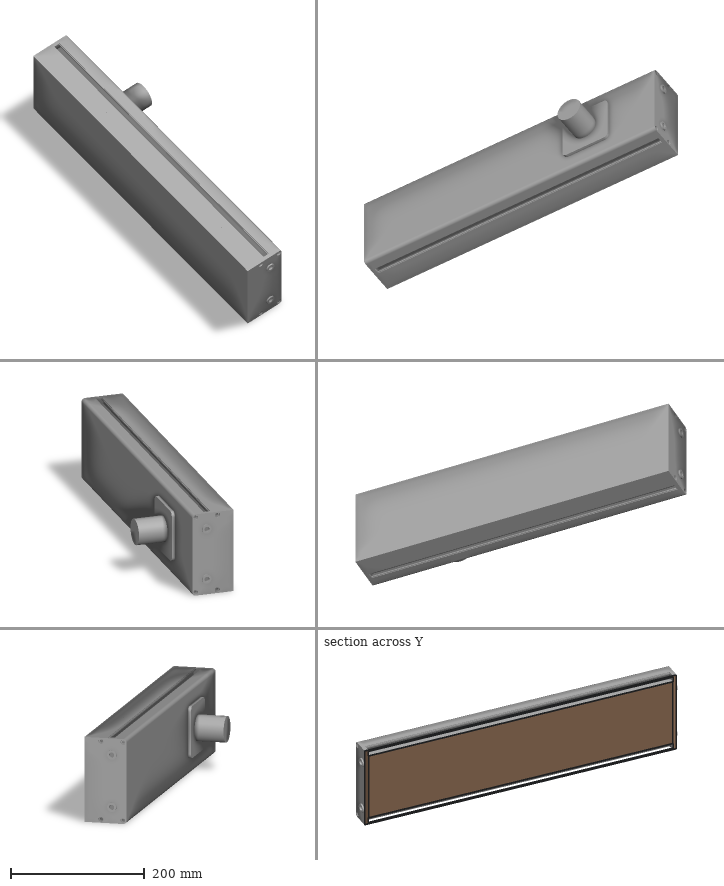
import cadquery as cq

TOTAL_LENGTH = 520.0
HEIGHT = 130.0
TOTAL_DEPTH = 115.0

PANEL_DEPTH = 20.5
HOUSING_DEPTH = 65.0
CAP_THICKNESS = 6.0
BACK_EDGE_RADIUS = 5.0

BOSS_DIAMETER = 14.0
BOSS_BORE_DIAMETER = 8.0
BOSS_HEIGHT = 2.35
BOSS_BORE_DEPTH = 4.0
BOSS_SPACING = 80.0

SCREW_EDGE_DISTANCE = 5.0
SCREW_HOLE_DIAMETER = 4.5
SCREW_HEAD_DIAMETER = 8.0
SCREW_HEAD_DEPTH = 2.5

SLOT_FROM_PANEL = 20.0
SLOT_MOUTH_WIDTH = 10.5
SLOT_MOUTH_DEPTH = 1.0
SLOT_NECK_WIDTH = 8.5
SLOT_NECK_BOTTOM = 3.0
SLOT_CAVITY_WIDTH = 15.5
SLOT_DEPTH = 10.5

FLANGE_SIDE = 79.5
FLANGE_THICKNESS = 4.95
FLANGE_CORNER_RADIUS = 7.5
STEM_DIAMETER = 40.0
STEM_FROM_END = 120.5

BODY_LENGTH = TOTAL_LENGTH - 2 * BOSS_HEIGHT
PROFILE_LENGTH = BODY_LENGTH - 2 * CAP_THICKNESS
PROFILE_DEPTH = HOUSING_DEPTH - PANEL_DEPTH
PROFILE_MIDDLE_Y = PANEL_DEPTH + PROFILE_DEPTH / 2
SLOT_Y = PANEL_DEPTH + SLOT_FROM_PANEL
STEM_X = STEM_FROM_END - BODY_LENGTH / 2
STEM_LENGTH = TOTAL_DEPTH - HOUSING_DEPTH - FLANGE_THICKNESS


def rounded_block(length):
    """Block behind the panel, with its two long back edges rounded."""
    block = cq.Workplane("XY").box(length, PROFILE_DEPTH, HEIGHT)
    block = block.edges("|X and >Y").fillet(BACK_EDGE_RADIUS)
    return block.translate((0, PROFILE_MIDDLE_Y, 0))


def make_front_panel():
    panel = cq.Workplane("XY").box(BODY_LENGTH, PANEL_DEPTH, HEIGHT)
    return panel.translate((0, PANEL_DEPTH / 2, 0))


def make_profile():
    profile = rounded_block(PROFILE_LENGTH)
    levels = (
        (SLOT_MOUTH_WIDTH, 0, SLOT_MOUTH_DEPTH),
        (SLOT_NECK_WIDTH, SLOT_MOUTH_DEPTH, SLOT_NECK_BOTTOM),
        (SLOT_CAVITY_WIDTH, SLOT_NECK_BOTTOM, SLOT_DEPTH),
    )
    for width, top, bottom in levels:
        groove = cq.Workplane("XY").box(PROFILE_LENGTH, width, bottom - top)
        groove_z = (HEIGHT - top - bottom) / 2
        for side in (-1, 1):
            profile = profile.cut(groove.translate((0, SLOT_Y, side * groove_z)))
    return profile


def make_end_cap(side):
    """End cap at the -X end (side -1) or at the +X end (side 1)."""
    cap = rounded_block(CAP_THICKNESS)
    outer_face = cq.Workplane("YZ", origin=(CAP_THICKNESS / 2, PROFILE_MIDDLE_Y, 0))

    boss_centres = outer_face.rarray(5, BOSS_SPACING, 1, 2)
    bosses = boss_centres.circle(BOSS_DIAMETER / 2).extrude(BOSS_HEIGHT)
    bores = (
        boss_centres.circle(BOSS_BORE_DIAMETER / 2)
        .extrude(-BOSS_BORE_DEPTH)
        .translate((BOSS_HEIGHT, 0, 0))
    )
    cap = cap.union(bosses).cut(bores)

    screw_spacing_y = PROFILE_DEPTH - 2 * SCREW_EDGE_DISTANCE
    screw_spacing_z = HEIGHT - 2 * SCREW_EDGE_DISTANCE
    screws = outer_face.rarray(screw_spacing_y, screw_spacing_z, 2, 2)
    cap = cap.cut(screws.circle(SCREW_HOLE_DIAMETER / 2).extrude(-CAP_THICKNESS))
    cap = cap.cut(screws.circle(SCREW_HEAD_DIAMETER / 2).extrude(-SCREW_HEAD_DEPTH))

    if side < 0:
        cap = cap.mirror("YZ")
    return cap.translate((side * (BODY_LENGTH - CAP_THICKNESS) / 2, 0, 0))


def make_mounting_stem():
    flange = cq.Workplane("XY").box(FLANGE_SIDE, FLANGE_THICKNESS, FLANGE_SIDE)
    flange = flange.edges("|Y").fillet(FLANGE_CORNER_RADIUS)
    flange = flange.translate((STEM_X, HOUSING_DEPTH + FLANGE_THICKNESS / 2, 0))
    flange_back = cq.Workplane("XZ", origin=(STEM_X, HOUSING_DEPTH + FLANGE_THICKNESS, 0))
    return flange.union(flange_back.circle(STEM_DIAMETER / 2).extrude(-STEM_LENGTH))


front_panel = make_front_panel()
profile = make_profile()
end_caps = [make_end_cap(side) for side in (-1, 1)]
mounting_stem = make_mounting_stem()

result = cq.Compound.makeCompound(
    [front_panel.val(), profile.val(), *[cap.val() for cap in end_caps], mounting_stem.val()]
)